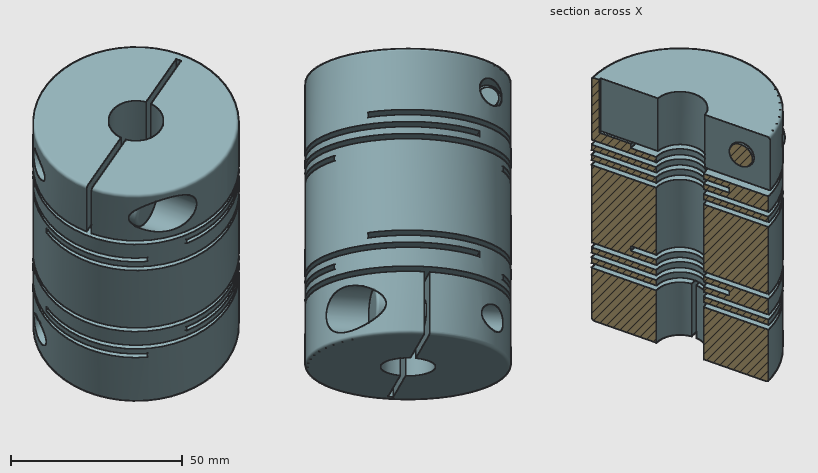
import cadquery as cq

length = 88
diameter = 60.0
bore_diameter = 16.0
rim_radius = 1.0

cut_width = 1.6
slot_reach = 16.5
slot_pitch = 3.7
inner_slot_height = 13.0

slit_reach = 27.3

screw_offset = 20.6
screw_height = 34.6
shank_diameter = 8.0
shank_length = 23.4
tip_chamfer = 0.9
head_diameter = 13.55
head_height = 8.0
head_fillet = 0.9
head_top = 14.4
counterbore_diameter = 14.1

radius = diameter / 2
overshoot = 0.9
outside = radius + overshoot
head_seat = head_top - head_height
outer_slot_height = inner_slot_height + 3 * slot_pitch

upper_open_sides = [0, 180, 90, 270]
lower_open_sides = [270, 90, 0, 180]


def cross_cut(reach, height, z_bottom, open_side):
    """Box open at one side of the body and reaching past the axis by `reach`."""
    box = cq.Workplane("XY").box(outside + reach, 2 * outside, height, centered=(False, True, False))
    return box.translate((-reach, 0, z_bottom)).rotate((0, 0, 0), (0, 0, 1), open_side)


def rod_along_x(rod_diameter, x_start, x_end):
    """Round bar on the axis of the upper clamp screw."""
    plane = cq.Workplane("YZ", origin=(x_start, -screw_offset, screw_height))
    return plane.circle(rod_diameter / 2).extrude(x_end - x_start)


def at_both_ends(shape):
    """Pair an upper clamp shape with its lower copy, turned half a turn about the X = Y diagonal."""
    return [shape, shape.rotate((0, 0, 0), (1, 1, 0), 180)]


def clamp_slit():
    """Radial slit open at -Y, running from the end face down to the outermost slot."""
    slit_floor = outer_slot_height + cut_width / 2
    depth = length / 2 - slit_floor + overshoot
    slit = cq.Workplane("XY").box(cut_width, outside + slit_reach, depth, centered=(True, False, False))
    return slit.translate((0, -outside, slit_floor))


def screw_hole():
    """Through hole for the shank, counterbored from +X for the head."""
    shank_hole = rod_along_x(shank_diameter, -outside, outside)
    return shank_hole.union(rod_along_x(counterbore_diameter, head_seat, outside))


def clamp_screw():
    """Cap screw with a chamfered tip and a rounded head."""
    shank = rod_along_x(shank_diameter, head_seat - shank_length, head_seat)
    shank = shank.faces("<X").chamfer(tip_chamfer)
    head = rod_along_x(head_diameter, head_seat, head_top)
    return shank.union(head.faces(">X").edges().fillet(head_fillet))


body = cq.Workplane("XY").circle(radius).extrude(length).translate((0, 0, -length / 2))
body = body.faces("<Z or >Z").edges().fillet(rim_radius)
body = body.cut(cq.Workplane("XY").circle(bore_diameter / 2).extrude(length, both=True))

for direction, open_sides in ((1, upper_open_sides), (-1, lower_open_sides)):
    for level, open_side in enumerate(open_sides):
        slot_height = direction * (inner_slot_height + level * slot_pitch)
        body = body.cut(cross_cut(slot_reach, cut_width, slot_height - cut_width / 2, open_side))

for clamp_cut in at_both_ends(clamp_slit()) + at_both_ends(screw_hole()):
    body = body.cut(clamp_cut)
for screw in at_both_ends(clamp_screw()):
    body = body.union(screw)

result = body